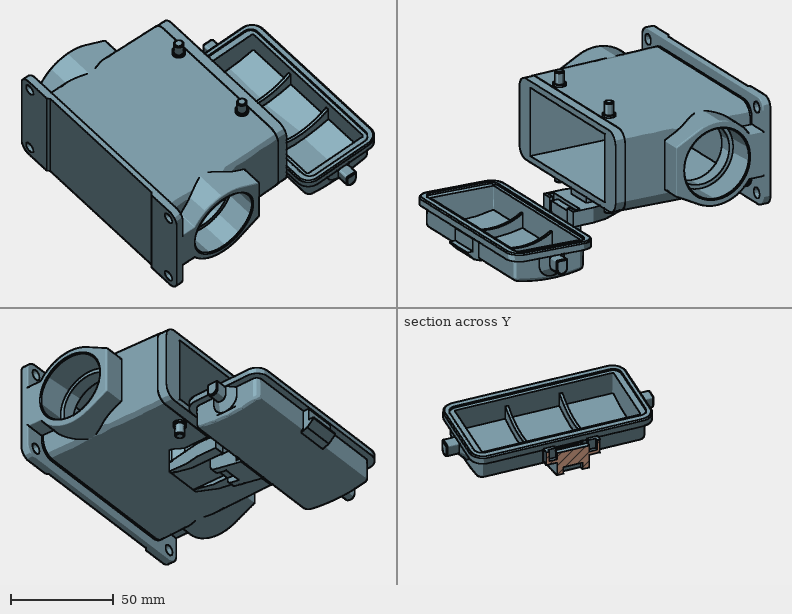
import cadquery as cq
import math


PLATE_LENGTH = 117.0
PLATE_HEIGHT = 56.4
PLATE_THICKNESS = 4.3
PLATE_CORNER = 5.5
PLATE_EDGE_FILLET = 0.5
SCREW_HOLE_DIAMETER = 5.5
SCREW_HOLE_X = 52.3
SCREW_HOLE_Z = 22.4
RELIEF_DEPTH = 1.1
RELIEF_HALF_FLOOR = 38.3
RELIEF_HALF_MOUTH = 39.4

HOUSING_HALF_WIDTH = 47.8
HOUSING_HALF_HEIGHT = 22.7
HOUSING_CORNER = 7.8
HOUSING_DRAFT = 1.0
RIM_START = 75.0
RIM_END = 80.4
RIM_STEP = 0.21
FOOT_HEIGHT = 1.0
CHAMBER_HALF_WIDTH = 35.7
CHAMBER_HALF_HEIGHT = 17.9
CHAMBER_START = 7.1

BORE_Y = 30.2
BOSS_RADIUS = 22.0
BOSS_FAR_Y = 53.0
BOSS_FAR_HALF = 12.9
BOSS_NECK_HALF = 11.9
BOSS_INNER_X = 35.5
BOSS_CORNER = 0.9
BOSS_EDGE = 0.9
BORE_RADIUS = 16.0
SOCKET_RADIUS = 18.1
SOCKET_DEPTH = 15.6
SOCKET_CHAMFER = 0.5

PIN_X = 23.8
PIN_Y = 70.9
PIN_RADIUS = 2.4
PIN_REACH = 28.9
PIN_CHAMFER = 0.5
COLLAR_RADIUS = 3.3
COLLAR_REACH = 22.5

HINGE_FRONT_Y = 53.7
HINGE_LIP = 1.5
HINGE_NARROW_Y = 60.7
HINGE_WIDE_Y = 74.0
HINGE_END_Y = 85.5
HINGE_HALF_FRONT = 10.5
HINGE_HALF_NECK = 7.1
HINGE_HALF_END = 14.2
ARM_TOP = -29.2
ARM_BOTTOM = -37.1
ARM_FRONT_BOTTOM = -34.6
ARM_SLOPE_Y = 66.3
POCKET_WALL = 1.7
POCKET_START_Y = 80.7
POCKET_DEPTH = 5.7

LID_Y = 115.4
LID_TOP = -30.6
LID_TILT = 1.2
LID_LENGTH = 95.5
LID_WIDTH = 46.9
LID_RIM_HEIGHT = 4.1
LID_RIM_CORNER = 7.1
LID_RIM_CHAMFER = 0.7
PAN_LENGTH = 88.2
PAN_WIDTH = 39.4
PAN_CORNER = 3.3
PAN_EDGE = 15.7
PAN_MIDDLE = 18.0
PAN_FILLET = 2.1
LEDGE_END_INSET = 2.7
LEDGE_SIDE_INSET = 3.5
LEDGE_DEPTH = 1.0
CAVITY_LENGTH = 83.3
CAVITY_WIDTH = 35.7
CAVITY_CORNER = 0.7
FLOOR_THICKNESS = 2.3
RIB_X = 14.2
RIB_THICKNESS = 1.5
RIB_END_HEIGHT = 7.7
RIB_MIDDLE_HEIGHT = 4.7

LUG_REACH = 54.4
LUG_Y = 115.1
LUG_RADIUS = 3.1
LUG_AXIS_Z = -39.4
LUG_TOP = -34.7
LUG_CHAMFER = 0.5
LUG_TOP_FILLET = 1.0
SEAT_RADIUS = 7.1

TONGUE_HALF = 8.5
TONGUE_END_Y = 77.8
TONGUE_TOP = -37.4
TONGUE_LID_Y = 96.8
TONGUE_END_BOTTOM = -44.0
TONGUE_LID_BOTTOM = -47.5
TONGUE_CORNER = 2.4
EYE_TOP = -31.2
EYE_BACK_Y = 84.5
EYE_CHAMFER = 1.1
NOTCH_HALF = 5.0
NOTCH_TOP = -40.8
NOTCH_LENGTH = 7.1
FLARE_HALF = 10.3
FLARE_START_Y = 93.7
FLARE_OVERLAP = 0.7
TAB_WALL_Y = 138.6
TAB_TIP_Y = 141.7
TAB_TOP = -41.2
TAB_TIP_THICKNESS = 0.5
TAB_KNEE_Y = 137.8
TAB_KNEE_Z = -45.6
TAB_ROOT_Y = 134.0
TAB_ROOT_Z = -47.0


def block(x_range, y_range, z_range):
    """Box given by its low and high limits along each axis."""
    (x0, x1), (y0, y1), (z0, z1) = x_range, y_range, z_range
    return cq.Workplane("XY").box(x1 - x0, y1 - y0, z1 - z0, centered=False).translate((x0, y0, z0))


def cross_bar(points, half_width):
    """YZ outline extruded equally to both sides of X = 0."""
    return cq.Workplane("YZ").polyline(points).close().extrude(half_width, both=True)


def along_y(start):
    """Sketch plane facing +Y; its local x is -X and its local y is Z."""
    return cq.Workplane(cq.Plane((0, start, 0), (-1, 0, 0), (0, 1, 0)))


def rounded_rectangle(length, width, corner):
    return cq.Sketch().rect(length, width).vertices().fillet(corner)


def rounded_prism(plane, length, width, height, corner):
    return plane.placeSketch(rounded_rectangle(length, width, corner)).extrude(height)


def mirror_x(shape):
    return shape.union(shape.mirror("YZ"))


def make_plate():
    """Mounting plate with a shallow relief across the middle of its back."""
    plate = rounded_prism(along_y(0), PLATE_LENGTH, PLATE_HEIGHT, PLATE_THICKNESS, PLATE_CORNER)
    relief = (
        cq.Workplane("XY")
        .polyline([
            (-RELIEF_HALF_MOUTH, 0),
            (RELIEF_HALF_MOUTH, 0),
            (RELIEF_HALF_FLOOR, RELIEF_DEPTH),
            (-RELIEF_HALF_FLOOR, RELIEF_DEPTH),
        ])
        .close()
        .extrude(PLATE_HEIGHT, both=True)
    )
    return plate.faces(">Y").edges().fillet(PLATE_EDGE_FILLET).cut(relief)


def make_housing():
    """Drafted housing with a foot on the plate and a straight rim at the mouth."""
    height = RIM_START - PLATE_THICKNESS
    outline = rounded_rectangle(2 * HOUSING_HALF_WIDTH, 2 * HOUSING_HALF_HEIGHT, HOUSING_CORNER)
    shell = along_y(PLATE_THICKNESS).placeSketch(outline).extrude(height, taper=HOUSING_DRAFT)
    inset = height * math.tan(math.radians(HOUSING_DRAFT)) + RIM_STEP
    rim = rounded_prism(
        along_y(RIM_START),
        2 * (HOUSING_HALF_WIDTH - inset),
        2 * (HOUSING_HALF_HEIGHT - inset),
        RIM_END - RIM_START,
        HOUSING_CORNER - inset,
    )
    foot = along_y(PLATE_THICKNESS).placeSketch(outline).extrude(FOOT_HEIGHT)
    return shell.union(foot).union(rim)


def make_chamber():
    """Inside of the housing, open at the +Y mouth."""
    return block(
        (-CHAMBER_HALF_WIDTH, CHAMBER_HALF_WIDTH),
        (CHAMBER_START, RIM_END),
        (-CHAMBER_HALF_HEIGHT, CHAMBER_HALF_HEIGHT),
    )


def make_entry_boss():
    """Rounded boss on the -X side, tied to the plate by a straight neck."""
    far_y = BOSS_FAR_Y - BORE_Y
    corner_distance = math.hypot(far_y, BOSS_FAR_HALF)
    tangent_angle = math.atan2(BOSS_FAR_HALF, far_y) + math.acos(BOSS_RADIUS / corner_distance)
    tangent_y = BORE_Y + BOSS_RADIUS * math.cos(tangent_angle)
    tangent_z = BOSS_RADIUS * math.sin(tangent_angle)
    plate_middle = PLATE_THICKNESS / 2
    neck_y = BORE_Y - math.sqrt(BOSS_RADIUS ** 2 - BOSS_NECK_HALF ** 2)
    boss = (
        cq.Workplane("YZ")
        .workplane(offset=-PLATE_LENGTH / 2)
        .moveTo(plate_middle, -BOSS_NECK_HALF)
        .lineTo(neck_y, -BOSS_NECK_HALF)
        .threePointArc((BORE_Y, -BOSS_RADIUS), (tangent_y, -tangent_z))
        .lineTo(BOSS_FAR_Y, -BOSS_FAR_HALF)
        .lineTo(BOSS_FAR_Y, BOSS_FAR_HALF)
        .lineTo(tangent_y, tangent_z)
        .threePointArc((BORE_Y, BOSS_RADIUS), (neck_y, BOSS_NECK_HALF))
        .lineTo(plate_middle, BOSS_NECK_HALF)
        .close()
        .extrude(PLATE_LENGTH / 2 - BOSS_INNER_X)
    )
    boss = boss.edges("|X and >Y").fillet(BOSS_CORNER)
    for side in (-1, 1):
        neck_corner = (-PLATE_LENGTH / 2, neck_y, side * BOSS_NECK_HALF)
        boss = boss.edges("|X").edges(cq.NearestToPointSelector(neck_corner)).fillet(BOSS_CORNER)
    return boss.faces("<X").edges("not <Y").fillet(BOSS_EDGE)


def make_bore():
    """Through bore with a wider, chamfered socket at each end."""
    half = PLATE_LENGTH / 2
    mouth_radius = SOCKET_RADIUS + SOCKET_CHAMFER
    socket = (
        cq.Workplane("XY")
        .polyline([
            (0, 0),
            (0, BORE_RADIUS),
            (half - SOCKET_DEPTH, BORE_RADIUS),
            (half - SOCKET_DEPTH, SOCKET_RADIUS),
            (half - SOCKET_CHAMFER, SOCKET_RADIUS),
            (half, mouth_radius),
            (half, 0),
        ])
        .close()
        .revolve(360, (0, 0, 0), (1, 0, 0))
        .translate((0, BORE_Y, 0))
    )
    return mirror_x(socket)


def make_pins():
    """Locking pins with collars above and below the housing."""
    plane = cq.Workplane("XY").pushPoints([(-PIN_X, PIN_Y), (PIN_X, PIN_Y)])
    pins = plane.circle(PIN_RADIUS).extrude(PIN_REACH, both=True)
    pins = pins.faces(">Z or <Z").chamfer(PIN_CHAMFER)
    return pins.union(plane.circle(COLLAR_RADIUS).extrude(COLLAR_REACH, both=True))


def make_screw_holes():
    return (
        along_y(0)
        .rect(2 * SCREW_HOLE_X, 2 * SCREW_HOLE_Z, forConstruction=True)
        .vertices()
        .circle(SCREW_HOLE_DIAMETER / 2)
        .extrude(PLATE_THICKNESS)
    )


def make_hinge():
    """Neck below the housing that carries two arms with a slot between them."""
    lip_y = HINGE_FRONT_Y + HINGE_LIP
    right_edge = [
        (HINGE_HALF_FRONT, HINGE_FRONT_Y),
        (HINGE_HALF_FRONT, lip_y),
        (HINGE_HALF_NECK, HINGE_NARROW_Y),
        (HINGE_HALF_NECK, HINGE_WIDE_Y),
    ]
    left_edge = [(-x, y) for x, y in reversed(right_edge)]
    neck_top = -CHAMBER_HALF_HEIGHT
    neck = (
        cq.Workplane("XY").workplane(offset=ARM_TOP)
        .polyline(right_edge + left_edge).close().extrude(neck_top - ARM_TOP)
    )

    right_edge = [
        (HINGE_HALF_FRONT, HINGE_FRONT_Y),
        (HINGE_HALF_END, HINGE_WIDE_Y),
        (HINGE_HALF_END, HINGE_END_Y),
    ]
    left_edge = [(-x, y) for x, y in reversed(right_edge)]
    arm_plan = (
        cq.Workplane("XY").workplane(offset=ARM_BOTTOM)
        .polyline(right_edge + left_edge).close().extrude(ARM_TOP - ARM_BOTTOM)
    )
    arm_side = cross_bar(
        [
            (HINGE_FRONT_Y, ARM_TOP),
            (HINGE_FRONT_Y, ARM_FRONT_BOTTOM),
            (ARM_SLOPE_Y, ARM_BOTTOM),
            (HINGE_END_Y, ARM_BOTTOM),
            (HINGE_END_Y, ARM_TOP),
        ],
        HINGE_HALF_END,
    )
    slot = block(
        (-TONGUE_HALF, TONGUE_HALF), (HINGE_FRONT_Y, TONGUE_END_Y), (ARM_BOTTOM, ARM_FRONT_BOTTOM)
    )
    gap = block((-TONGUE_HALF, TONGUE_HALF), (EYE_BACK_Y, HINGE_END_Y), (ARM_BOTTOM, ARM_TOP))
    eye_clearance = block((-TONGUE_HALF, TONGUE_HALF), (POCKET_START_Y, EYE_BACK_Y), (EYE_TOP, ARM_TOP))
    pocket = block(
        (TONGUE_HALF, HINGE_HALF_END - POCKET_WALL),
        (POCKET_START_Y, HINGE_END_Y - POCKET_WALL),
        (ARM_TOP - POCKET_DEPTH, ARM_TOP),
    )
    arms = arm_plan.intersect(arm_side).cut(slot).cut(gap).cut(eye_clearance).cut(mirror_x(pocket))
    return neck.union(arms)


def pan_block(length, width, top, edge_depth, middle_depth):
    """Bar along X whose underside is a shallow arc in the YZ plane."""
    return (
        cq.Workplane("YZ")
        .moveTo(-width / 2, top)
        .lineTo(-width / 2, -edge_depth)
        .threePointArc((0, -middle_depth), (width / 2, -edge_depth))
        .lineTo(width / 2, top)
        .close()
        .extrude(length / 2, both=True)
    )


def make_lid_shell():
    """Tray with a stepped rim, a bowed floor and two cross ribs, built around its own centre."""
    top_plane = cq.Workplane("XY")
    rim = rounded_prism(top_plane, LID_LENGTH, LID_WIDTH, -LID_RIM_HEIGHT, LID_RIM_CORNER)
    rim = rim.faces(">Z").edges().chamfer(LID_RIM_CHAMFER)
    pan = pan_block(PAN_LENGTH, PAN_WIDTH, -LID_RIM_CHAMFER - LEDGE_DEPTH, PAN_EDGE, PAN_MIDDLE)
    pan = pan.edges("|Z").fillet(PAN_CORNER)
    pan = pan.faces("<Z").edges().fillet(PAN_FILLET)

    ledge = rounded_prism(
        top_plane,
        LID_LENGTH - 2 * LEDGE_END_INSET,
        LID_WIDTH - 2 * LEDGE_SIDE_INSET,
        -LEDGE_DEPTH,
        LID_RIM_CORNER - LEDGE_END_INSET,
    )
    floor_edge = PAN_EDGE - FLOOR_THICKNESS
    floor_middle = PAN_MIDDLE - FLOOR_THICKNESS
    cavity = pan_block(CAVITY_LENGTH, CAVITY_WIDTH, 0, floor_edge, floor_middle)
    cavity = cavity.edges("|Z").fillet(CAVITY_CORNER)
    above_ribs = pan_block(
        CAVITY_LENGTH, CAVITY_WIDTH, 0, floor_edge - RIB_END_HEIGHT, floor_middle - RIB_MIDDLE_HEIGHT
    )
    ribs = (
        cq.Workplane("XY")
        .pushPoints([(-RIB_X, 0), (RIB_X, 0)])
        .rect(RIB_THICKNESS, CAVITY_WIDTH)
        .extrude(-PAN_MIDDLE)
        .cut(above_ribs)
    )
    return rim.union(pan).cut(ledge).cut(cavity.cut(ribs))


def lug_section(plane, radius):
    """Slot-shaped section, flat on top and round underneath, centred on the lug axis."""
    return (
        plane.moveTo(LUG_Y - radius, LUG_TOP)
        .lineTo(LUG_Y - radius, LUG_AXIS_Z)
        .threePointArc((LUG_Y, LUG_AXIS_Z - radius), (LUG_Y + radius, LUG_AXIS_Z))
        .lineTo(LUG_Y + radius, LUG_TOP)
        .close()
    )


def make_lug():
    """Latch lug on the +X end of the lid with its flared seat."""
    seat_inner = PAN_LENGTH / 2
    seat_outer = LID_LENGTH / 2
    root = (PAN_LENGTH + CAVITY_LENGTH) / 4
    lug = lug_section(cq.Workplane("YZ").workplane(offset=root), LUG_RADIUS)
    lug = lug.extrude(LUG_REACH - root)
    lug = lug.faces(">Z").edges("|X").fillet(LUG_TOP_FILLET)
    lug = lug.faces(">X").chamfer(LUG_CHAMFER)
    seat = lug_section(cq.Workplane("YZ").workplane(offset=seat_inner), SEAT_RADIUS)
    seat = lug_section(seat.workplane(offset=seat_outer - seat_inner), LUG_RADIUS).loft(ruled=True)
    return lug.union(seat)


def make_tongue():
    """Hinge tongue of the lid, with its raised eye, notch and flared root."""
    tongue = cross_bar(
        [
            (TONGUE_END_Y, TONGUE_TOP),
            (TONGUE_LID_Y, TONGUE_TOP),
            (TONGUE_LID_Y, TONGUE_LID_BOTTOM),
            (TONGUE_END_Y, TONGUE_END_BOTTOM),
        ],
        TONGUE_HALF,
    )
    tongue = tongue.faces("<Y").edges("<Z").fillet(TONGUE_CORNER)
    eye = block((-TONGUE_HALF, TONGUE_HALF), (TONGUE_END_Y, EYE_BACK_Y), (TONGUE_TOP, EYE_TOP))
    eye = eye.faces(">Z").edges(">Y").chamfer(EYE_CHAMFER)
    notch = block(
        (-NOTCH_HALF, NOTCH_HALF),
        (TONGUE_END_Y, TONGUE_END_Y + NOTCH_LENGTH),
        (TONGUE_LID_BOTTOM, NOTCH_TOP),
    )
    pan_front = LID_Y - PAN_WIDTH / 2
    flare_top = LID_TOP - LID_RIM_HEIGHT
    flare = (
        cq.Workplane("XY").workplane(offset=TONGUE_LID_BOTTOM + PAN_FILLET)
        .polyline([
            (-TONGUE_HALF, FLARE_START_Y),
            (TONGUE_HALF, FLARE_START_Y),
            (FLARE_HALF, pan_front),
            (FLARE_HALF, pan_front + FLARE_OVERLAP),
            (-FLARE_HALF, pan_front + FLARE_OVERLAP),
            (-FLARE_HALF, pan_front),
        ])
        .close()
        .extrude(flare_top - TONGUE_LID_BOTTOM - PAN_FILLET)
    )
    return tongue.union(eye).cut(notch).union(flare)


def make_finger_tab():
    """Hooked tab on the +Y side of the lid."""
    return cross_bar(
        [
            (TAB_ROOT_Y, LID_TOP - LID_RIM_HEIGHT),
            (TAB_WALL_Y, LID_TOP - LID_RIM_HEIGHT),
            (TAB_WALL_Y, TAB_TOP),
            (TAB_TIP_Y, TAB_TOP),
            (TAB_TIP_Y, TAB_TOP - TAB_TIP_THICKNESS),
            (TAB_KNEE_Y, TAB_KNEE_Z),
            (TAB_ROOT_Y, TAB_ROOT_Z),
        ],
        TONGUE_HALF,
    )


housing = make_plate().union(make_housing()).union(mirror_x(make_entry_boss()))
housing = housing.union(make_pins()).union(make_hinge())
housing = housing.cut(make_bore()).cut(make_chamber()).cut(make_screw_holes())

lid = make_lid_shell().rotate((0, 0, 0), (1, 0, 0), LID_TILT).translate((0, LID_Y, LID_TOP))
lid = lid.union(mirror_x(make_lug())).union(make_finger_tab())

result = housing.union(lid).union(make_tongue())